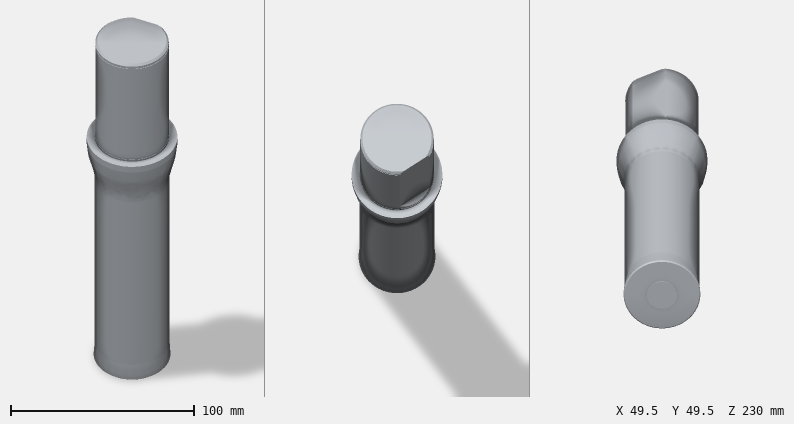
import cadquery as cq

total_height = 230.0
base_z = 0.5
base_swell_top_z = 11.3
flare_bottom_z = 130.2
collar_band_z = 155.7
collar_top_z = 159.8
flat_bottom_z = 163.3

grip_radius = 40.7 / 2
collar_radius = 49.5 / 2
shaft_radius = 40.0 / 2
groove_radius = 39.5 / 2
base_radius = 21.0
foot_radius = 8.3

base_chamfer = 0.7
top_chamfer = 1.2
groove_width = 1.2
upper_groove_gap = 0.7
lower_groove_gap = 1.0
socket_depth = 2.3
socket_chamfer = grip_radius - shaft_radius
flat_distance = 17.5


def make_handle():
    """Revolved grip with a flared collar, a swollen base, a foot and a seat for the shaft."""
    profile = (
        cq.Workplane("XZ")
        .lineTo(0, collar_top_z - socket_depth)
        .lineTo(shaft_radius, collar_top_z - socket_depth)
        .lineTo(shaft_radius, collar_top_z - socket_chamfer)
        .lineTo(shaft_radius + socket_chamfer, collar_top_z)
        .lineTo(collar_radius, collar_top_z)
        .lineTo(collar_radius, collar_band_z)
        .spline([(grip_radius, flare_bottom_z)], tangents=[(0, -1), (0, -1)], includeCurrent=True)
        .lineTo(grip_radius, base_swell_top_z)
        .lineTo(base_radius, base_z + base_chamfer)
        .lineTo(base_radius - base_chamfer, base_z)
        .lineTo(foot_radius, base_z)
        .lineTo(foot_radius, 0)
        .close()
    )
    return profile.revolve(360, (0, 0, 0), (0, 1, 0))


def make_groove_cutter(bottom_z):
    """Shallow square groove around the shaft."""
    return (
        cq.Workplane("XY", origin=(0, 0, bottom_z))
        .circle(collar_radius)
        .circle(groove_radius)
        .extrude(groove_width)
    )


def make_flat_cutter():
    """Material beyond the flat, ending below in a 45 degree runout."""
    runout_top_z = flat_bottom_z + shaft_radius - flat_distance
    return (
        cq.Workplane("YZ")
        .moveTo(flat_distance, total_height)
        .lineTo(flat_distance, runout_top_z)
        .lineTo(shaft_radius, flat_bottom_z)
        .lineTo(shaft_radius, total_height)
        .close()
        .extrude(shaft_radius, both=True)
    )


def make_shaft():
    """Round shaft with a chamfered top, a groove near each end and a flat on the +Y side."""
    seat_z = collar_top_z - socket_depth
    shaft = (
        cq.Workplane("XY", origin=(0, 0, seat_z))
        .circle(shaft_radius)
        .extrude(total_height - seat_z)
        .faces(">Z").edges()
        .chamfer(top_chamfer)
    )
    lower_groove_z = collar_top_z + lower_groove_gap
    upper_groove_z = total_height - top_chamfer - upper_groove_gap - groove_width
    for groove_z in (lower_groove_z, upper_groove_z):
        shaft = shaft.cut(make_groove_cutter(groove_z))
    return shaft.cut(make_flat_cutter())


handle = make_handle()
shaft = make_shaft()
result = cq.Compound.makeCompound([handle.val(), shaft.val()])